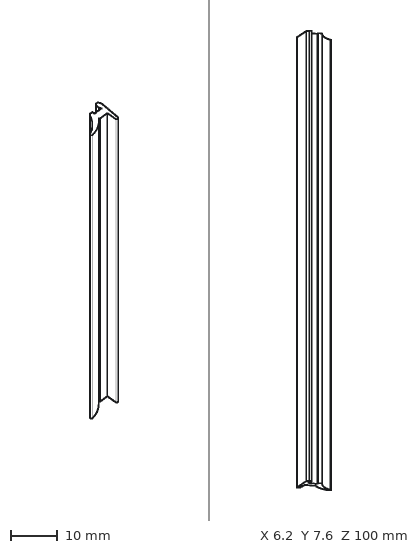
import cadquery as cq

length = 100.0
width = 6.2
depth = 7.6
left = -width / 2
right = width / 2
back = depth / 2
front = -depth / 2

root_thickness = 0.9
edge_thickness = 0.7
edge_radius = edge_thickness / 2
left_underside = 2.9
lip_bottom = 2.6
lip_slope_width = 0.7
lip_slope_drop = 0.4
lip_radius = 0.4
lip_inner_x = -2.0

stem_left = -1.4
stem_right = 0.4

heel_left = -2.0
heel_top = 0.8
heel_bottom = -0.2
heel_radius = 0.3
shoulder_undercut = 0.3
shoulder_y = 0.6
outer_mid = (1.5, -0.8)
inner_mid = (0.5, -1.6)
tip_right = 2.5
tip_width = 0.6
tip_corner_y = front + tip_width / 2


def draw_section():
    """Closed profile, starting at the back left of the flange and going clockwise."""
    return (
        cq.Workplane("XY")
        .workplane(offset=-length / 2)
        .moveTo(left + lip_slope_width, back)
        .lineTo(right - edge_radius, back)
        .threePointArc((right, back - edge_radius), (right - edge_radius, back - edge_thickness))
        .lineTo(stem_right, back - root_thickness)
        .lineTo(stem_right, heel_top)
        .lineTo(stem_right - shoulder_undercut, shoulder_y)
        .threePointArc(outer_mid, (tip_right, tip_corner_y))
        .threePointArc((tip_right - tip_width / 2, front), (tip_right - tip_width, tip_corner_y))
        .threePointArc(inner_mid, (heel_left + heel_radius, heel_bottom))
        .radiusArc((heel_left, heel_bottom + heel_radius), heel_radius)
        .lineTo(heel_left, heel_top)
        .lineTo(stem_left, heel_top)
        .lineTo(stem_left, left_underside)
        .lineTo(lip_inner_x, lip_bottom)
        .lineTo(left + lip_radius, lip_bottom)
        .radiusArc((left, lip_bottom + lip_radius), lip_radius)
        .lineTo(left, back - lip_slope_drop)
        .close()
    )


result = draw_section().extrude(length)